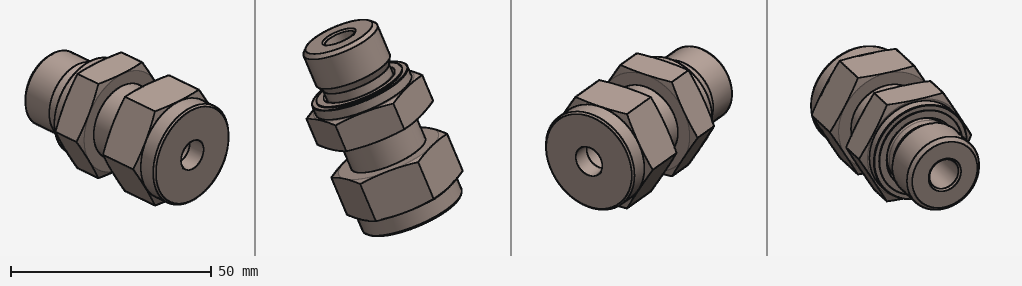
import cadquery as cq
import math


total_length = 49.7
hex_across_flats = 27.0
hex_across_corners = hex_across_flats / math.cos(math.radians(30))
hex_chamfer_angle = 15.0

bore_diameter = 8.0
bore_chamfer = 0.5

stud_diameter = 20.05
stud_chamfer = 1.0
stud_length = 9.4
undercut_diameter = 17.8
undercut_start = 11.4
undercut_recess_depth = 1.2
undercut_recess_diameter = 19.2
sealing_land_diameter = 23.05
sealing_land_start = 13.6
collar_diameter = 25.85
collar_start = 13.9
collar_chamfer = 0.15

body_hex_start = 16.55
body_hex_end = 25.0

shank_diameter = stud_diameter
nut_start = 33.2
nut_hex_end = 44.9
shank_end = nut_hex_end

rim_diameter = 26.85
rim_chamfer = 0.5


def cylinder(diameter, start, end):
    """Solid cylinder on the X axis between two stations."""
    return cq.Workplane("YZ", origin=(start, 0, 0)).circle(diameter / 2).extrude(end - start)


def chamfered_hexagon(start, end):
    """Hexagon with flats facing +Z and -Z, its corners turned off conically at both ends."""
    face_radius = hex_across_flats / 2
    corner_radius = hex_across_corners / 2
    chamfer_length = (corner_radius - face_radius) * math.tan(math.radians(hex_chamfer_angle))
    prism = (
        cq.Workplane("YZ", origin=(start, 0, 0))
        .polygon(6, hex_across_corners)
        .extrude(end - start)
    )
    turned_envelope = (
        cq.Workplane("XY")
        .moveTo(start, 0)
        .lineTo(start, face_radius)
        .lineTo(start + chamfer_length, corner_radius)
        .lineTo(end - chamfer_length, corner_radius)
        .lineTo(end, face_radius)
        .lineTo(end, 0)
        .close()
        .revolve(360, (0, 0, 0), (1, 0, 0))
    )
    return prism.intersect(turned_envelope)


def make_stud():
    """Chamfered stud with a conical run-out into its undercut."""
    stud_radius = stud_diameter / 2
    undercut_radius = undercut_diameter / 2
    return (
        cq.Workplane("XY")
        .moveTo(0, 0)
        .lineTo(0, stud_radius - stud_chamfer)
        .lineTo(stud_chamfer, stud_radius)
        .lineTo(stud_length, stud_radius)
        .lineTo(undercut_start, undercut_radius)
        .lineTo(sealing_land_start, undercut_radius)
        .lineTo(sealing_land_start, 0)
        .close()
        .revolve(360, (0, 0, 0), (1, 0, 0))
    )


def make_undercut_recess():
    """Conical ring that carries the undercut into the sealing land, narrowing with depth."""
    undercut_radius = undercut_diameter / 2
    return (
        cq.Workplane("XY")
        .moveTo(sealing_land_start, undercut_radius)
        .lineTo(sealing_land_start, undercut_recess_diameter / 2)
        .lineTo(sealing_land_start + undercut_recess_depth, undercut_radius)
        .close()
        .revolve(360, (0, 0, 0), (1, 0, 0))
    )


def make_fitting_body():
    """Stud, sealing land, collar, hexagon and shank, bored through."""
    sealing_land = cylinder(sealing_land_diameter, sealing_land_start, collar_start)
    collar = cylinder(collar_diameter, collar_start, body_hex_start).faces("<X").chamfer(collar_chamfer)
    shank = cylinder(shank_diameter, body_hex_end, shank_end)
    body = (
        make_stud()
        .union(sealing_land)
        .union(collar)
        .union(chamfered_hexagon(body_hex_start, body_hex_end))
        .union(shank)
        .cut(make_undercut_recess())
    )
    bore = cylinder(bore_diameter, 0, shank_end)
    bored_body = body.cut(bore)
    return bored_body.faces("<X").edges(cq.selectors.RadiusNthSelector(0)).chamfer(bore_chamfer)


def make_nut():
    """Hexagon nut with a round rim, recessed for the shank and bored through its end wall."""
    rim = cylinder(rim_diameter, nut_hex_end, total_length).faces(">X").chamfer(rim_chamfer)
    shank_recess = cylinder(shank_diameter, nut_start, shank_end)
    bore = cylinder(bore_diameter, shank_end, total_length)
    return chamfered_hexagon(nut_start, nut_hex_end).union(rim).cut(shank_recess).cut(bore)


fitting_body = make_fitting_body()
nut = make_nut()

result = cq.Compound.makeCompound([fitting_body.val(), nut.val()])